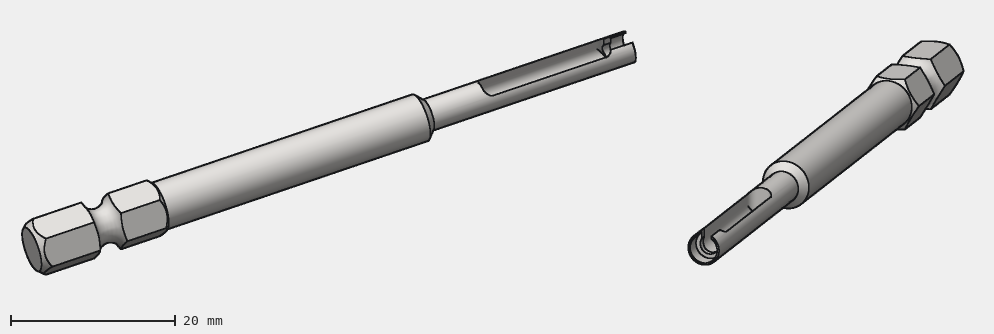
import cadquery as cq

length = 80.0
tip_y = length / 2
rear_y = -length / 2

rod_radius = 2.0
body_diameter = 6.0
body_radius = body_diameter / 2
body_from_tip = 28.0
cone_from_tip = body_from_tip - (body_radius - rod_radius)

hex_across_corners = 7.4
hex_corner_radius = hex_across_corners / 2
hex_from_tip = 63.0
front_bevel = hex_corner_radius - body_radius
rear_bevel_length = 1.0
rear_face_radius = 2.8

groove_from_tip = 70.7
groove_neck_radius = 2.2
groove_arc_radius = 1.8

socket_radius = 1.8
socket_depth = 2.0
collar_radius = 1.2
narrow_slot_width = 2.0
trough_width = 3.0
trough_start_from_tip = 2.8
trough_end_from_tip = 19.8
trough_corner_radius = 1.0


def revolve_about_y(profile):
    return profile.close().revolve(360, (0, 0, 0), (0, 1, 0))


def make_shaft():
    """Thin rod, conical shoulder and thicker body, ending at the hex shank."""
    profile = (
        cq.Workplane("XY")
        .moveTo(0, tip_y)
        .lineTo(rod_radius, tip_y)
        .lineTo(rod_radius, tip_y - cone_from_tip)
        .lineTo(body_radius, tip_y - body_from_tip)
        .lineTo(body_radius, tip_y - hex_from_tip)
        .lineTo(0, tip_y - hex_from_tip)
    )
    return revolve_about_y(profile)


def make_hex_shank():
    """Hex prism trimmed by bevels at both ends, with the detent groove cut around it."""
    front_y = tip_y - hex_from_tip
    prism = (
        cq.Workplane("XZ", origin=(0, front_y, 0))
        .polygon(6, hex_across_corners)
        .extrude(front_y - rear_y)
    )
    envelope = revolve_about_y(
        cq.Workplane("XY")
        .moveTo(0, front_y)
        .lineTo(body_radius, front_y)
        .lineTo(hex_corner_radius, front_y - front_bevel)
        .lineTo(hex_corner_radius, rear_y + rear_bevel_length)
        .lineTo(rear_face_radius, rear_y)
        .lineTo(0, rear_y)
    )
    groove_centre_radius = groove_neck_radius + groove_arc_radius
    groove = cq.Workplane("XY").add(
        cq.Solid.makeTorus(
            groove_centre_radius,
            groove_arc_radius,
            cq.Vector(0, tip_y - groove_from_tip, 0),
            cq.Vector(0, 1, 0),
        )
    )
    return prism.intersect(envelope).cut(groove)


def cylinder_along_y(radius, start_from_tip, end_from_tip):
    return (
        cq.Workplane("XZ", origin=(0, tip_y - start_from_tip, 0))
        .circle(radius)
        .extrude(end_from_tip - start_from_tip)
    )


def slot_above_axis(width, start_from_tip, end_from_tip):
    """Straight-walled opening from the axis up through the top of the rod."""
    return (
        cq.Workplane("XY")
        .center(0, tip_y - (start_from_tip + end_from_tip) / 2)
        .rect(width, end_from_tip - start_from_tip)
        .extrude(rod_radius)
    )


def make_trough():
    """Round-bottomed trough, open at the top, with rounded corners seen from above."""
    span = (trough_start_from_tip, trough_end_from_tip)
    round_bottom = cylinder_along_y(trough_width / 2, *span)
    open_top = slot_above_axis(trough_width, *span)
    rounded_plan = (
        cq.Workplane("XY", origin=(0, tip_y - sum(span) / 2, 0))
        .rect(trough_width, span[1] - span[0])
        .extrude(rod_radius, both=True)
        .edges("|Z")
        .fillet(trough_corner_radius)
    )
    return round_bottom.union(open_top).intersect(rounded_plan)


def make_tip_opening():
    """End socket, collar hole and trough, joined at the top by a narrow slot out to the tip face."""
    socket = cylinder_along_y(socket_radius, 0, socket_depth)
    trough_middle = (trough_start_from_tip + trough_end_from_tip) / 2
    collar_hole = cylinder_along_y(collar_radius, socket_depth, trough_middle)
    narrow_slot = slot_above_axis(narrow_slot_width, 0, trough_middle)
    return socket.union(collar_hole).union(narrow_slot).union(make_trough())


result = make_shaft().union(make_hex_shank()).cut(make_tip_opening())